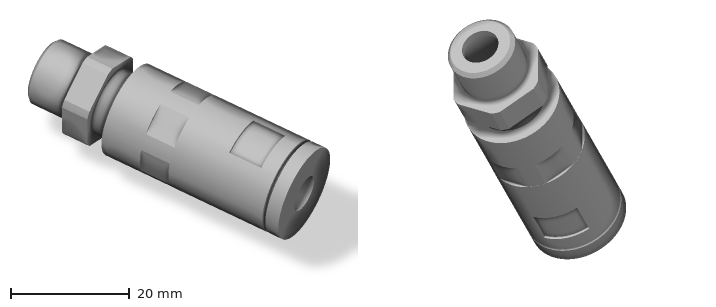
import cadquery as cq

LENGTH = 51.0
THREAD_END = 7.1
NUT_START = 8.0
NUT_END = 12.95
BODY_START = 16.3
WRENCH_START = 23.8
SLEEVE_START = 29.45
RECESS_START = 38.65
RECESS_END = 44.95
GROOVE_START = 47.85
GROOVE_END = 48.45

BORE_DIAMETER = 6.5
UNDERCUT_DIAMETER = 10.0
THREAD_DIAMETER = 12.0
BODY_DIAMETER = 17.0
SLEEVE_DIAMETER = 17.05
GROOVE_DIAMETER = 15.0
RECESS_FLOOR_DIAMETER = 16.1
NUT_CORNER_DIAMETER = 16.5

THREAD_CHAMFER = 0.65
NUT_ACROSS_FLATS = 15.0
WRENCH_ACROSS_FLATS = 16.0
RECESS_WIDTH = 7.95


def cylinder(start, end, diameter):
    """Cylinder on the X axis between two positions."""
    return cq.Workplane("YZ", origin=(start, 0, 0)).circle(diameter / 2).extrude(end - start)


def hexagon(start, end, across_flats):
    """Hexagonal prism on the X axis with two of its flats facing +Y and -Y."""
    return (
        cq.Workplane("YZ", origin=(start, 0, 0))
        .polygon(6, across_flats, circumscribed=True)
        .extrude(end - start)
    )


def threaded_end():
    """Chamfered thread cylinder, tapered run-out and the neck leading to the body."""
    thread = cylinder(0, THREAD_END, THREAD_DIAMETER).faces("<X").chamfer(THREAD_CHAMFER)
    runout = (
        cq.Workplane("YZ", origin=(THREAD_END, 0, 0))
        .circle(THREAD_DIAMETER / 2)
        .workplane(offset=NUT_START - THREAD_END)
        .circle(UNDERCUT_DIAMETER / 2)
        .loft()
    )
    neck = cylinder(NUT_END, BODY_START, THREAD_DIAMETER)
    return thread, runout, neck


def hex_nut():
    """Hexagon whose corners are turned down to a cylinder."""
    corners = cylinder(NUT_START, NUT_END, NUT_CORNER_DIAMETER)
    return hexagon(NUT_START, NUT_END, NUT_ACROSS_FLATS).intersect(corners)


def body():
    """Cylindrical body with six wrench flats next to the sleeve."""
    plain = cylinder(BODY_START, WRENCH_START, BODY_DIAMETER)
    wrench_section = cylinder(WRENCH_START, SLEEVE_START, BODY_DIAMETER).intersect(
        hexagon(WRENCH_START, SLEEVE_START, WRENCH_ACROSS_FLATS)
    )
    return plain.union(wrench_section)


def ring(start, end, inner_diameter):
    """Ring from an inner diameter out to the sleeve surface."""
    return cylinder(start, end, SLEEVE_DIAMETER).cut(cylinder(start, end, inner_diameter))


def sleeve():
    """Release sleeve with an end groove and curved recesses on its top and bottom."""
    groove = ring(GROOVE_START, GROOVE_END, GROOVE_DIAMETER)
    recess_strip = cq.Workplane("XY").box(
        RECESS_END - RECESS_START, RECESS_WIDTH, SLEEVE_DIAMETER
    ).translate(((RECESS_START + RECESS_END) / 2, 0, 0))
    recesses = ring(RECESS_START, RECESS_END, RECESS_FLOOR_DIAMETER).intersect(recess_strip)
    return cylinder(SLEEVE_START, LENGTH, SLEEVE_DIAMETER).cut(groove).cut(recesses)


outside = sleeve().union(body()).union(hex_nut())
for section in threaded_end():
    outside = outside.union(section)

result = outside.cut(cylinder(0, LENGTH, BORE_DIAMETER))